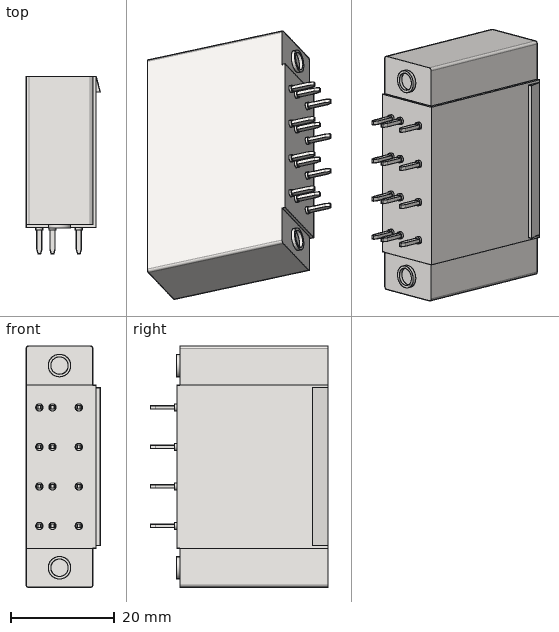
import cadquery as cq


HOUSING_HEIGHT = 46.6
HOUSING_WIDTH = 12.85
HOUSING_BACK = 29.15
STEP = 0.6
EDGE_RADIUS = 0.5

BLOCK_WIDTH = 13.5
BLOCK_HEIGHT = 31.5

LATCH_REACH = 0.8
LATCH_HEIGHT = 30.45
LATCH_DEPTH = 3.05

BOSS_SPACING = 39.0
BOSS_DIAMETER = 4.35
BOSS_BORE = 3.35
BOSS_LENGTH = 0.7

WIDE_COLUMN_GAP = 5.1
COLUMN_PITCH = WIDE_COLUMN_GAP / 2
FILLED_COLUMNS = (1, 2, 4)
ROW_PITCH = 3 * COLUMN_PITCH
ROW_COUNT = 4

PIN_LENGTH = 5.1
COLLAR_DIAMETER = 1.4
COLLAR_LENGTH = 0.45
BLADE_WIDTH = 1.02
BLADE_THICKNESS = 0.7
TIP_LENGTH = 0.95
TIP_WIDTH = 0.5


def make_block(width, front, height):
    """Box from the flat side to width and from front to the back face, centred on mid height."""
    depth = HOUSING_BACK - front
    block = cq.Workplane("XY").box(width, depth, height, centered=(False, False, True))
    return block.translate((0, front, 0))


def make_pin(x, z):
    """One pin standing on the connector face."""
    collar = cq.Workplane("XZ", origin=(x, 0, z)).circle(COLLAR_DIAMETER / 2).extrude(COLLAR_LENGTH)
    taper_start = TIP_LENGTH - PIN_LENGTH
    blade = (
        cq.Workplane("XY", origin=(x, 0, z))
        .moveTo(-BLADE_WIDTH / 2, 0)
        .lineTo(-BLADE_WIDTH / 2, taper_start)
        .lineTo(-TIP_WIDTH / 2, -PIN_LENGTH)
        .lineTo(TIP_WIDTH / 2, -PIN_LENGTH)
        .lineTo(BLADE_WIDTH / 2, taper_start)
        .lineTo(BLADE_WIDTH / 2, 0)
        .close()
        .extrude(BLADE_THICKNESS / 2, both=True)
    )
    return collar.union(blade)


def make_housing():
    """Rounded housing with its connector block and the pins moulded into it."""
    body = make_block(HOUSING_WIDTH, STEP, HOUSING_HEIGHT).edges("|Y").fillet(EDGE_RADIUS)
    body = body.union(make_block(BLOCK_WIDTH, 0, BLOCK_HEIGHT))
    lowest_row = -ROW_PITCH * (ROW_COUNT - 1) / 2
    for column in FILLED_COLUMNS:
        for row in range(ROW_COUNT):
            body = body.union(make_pin(column * COLUMN_PITCH, lowest_row + row * ROW_PITCH))
    return body


def make_latch():
    """Wedge that rises from the back edge to a square shoulder."""
    shoulder = HOUSING_BACK - LATCH_DEPTH
    return (
        cq.Workplane("XY")
        .moveTo(BLOCK_WIDTH, HOUSING_BACK)
        .lineTo(BLOCK_WIDTH, shoulder)
        .lineTo(BLOCK_WIDTH + LATCH_REACH, shoulder)
        .close()
        .extrude(LATCH_HEIGHT / 2, both=True)
    )


def make_boss(z):
    """Ring standing on an end zone, centred across the housing width."""
    return (
        cq.Workplane("XZ", origin=(HOUSING_WIDTH / 2, STEP, z))
        .circle(BOSS_DIAMETER / 2)
        .circle(BOSS_BORE / 2)
        .extrude(BOSS_LENGTH)
    )


housing = make_housing()
latch = make_latch()
bosses = [make_boss(side * BOSS_SPACING / 2) for side in (-1, 1)]

result = cq.Compound.makeCompound([housing.val(), latch.val(), *[boss.val() for boss in bosses]])